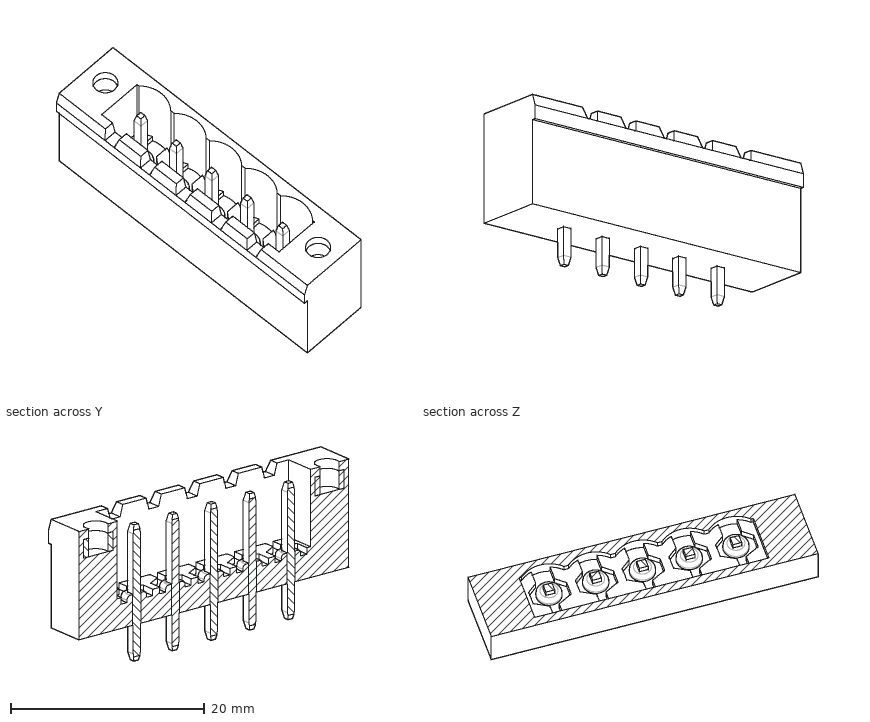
import cadquery as cq


length = 35.55
pin_count = 5
pitch = length / (pin_count + 2)
pin_positions = [(i - (pin_count - 1) / 2) * pitch for i in range(pin_count)]
flange_offset = (pin_count + 1) / 2 * pitch
flange_positions = [-flange_offset, flange_offset]

total_height = 16.0
body_height = 12.0
body_depth = 8.07
back_y = 3.8
front_y = back_y - body_depth

lip_projection = 0.43
lip_height = 2.77
lip_bevel_height = 1.28
lip_y = front_y - lip_projection

cavity_width = pin_count * pitch
cavity_depth = 8.55
floor_z = body_height - cavity_depth
cavity_front_y = lip_y + 1.5
scallop_base_y = back_y - 1.7
scallop_crest_y = back_y - 0.8
scallop_width = 4.6

recess_depth = 0.7
recess_width = 4.12
recess_rear_y = 0.43
recess_front_y = -1.1
rear_channel_width = 2.05
rear_channel_y = 1.28
front_channel_width = 1.0
front_channel_y = -1.95

boss_diameter = 2.75
boss_top_diameter = 1.85
boss_fillet = (boss_diameter - boss_top_diameter) / 2

notch_top_width = 2.0
notch_bottom_width = 1.28
notch_depth = lip_bevel_height

flange_hole_diameter = 2.6
ring_outer_diameter = 3.9
ring_height = 2.0
ring_top_z = body_height - 1.05
ring_bottom_z = ring_top_z - ring_height

pin_width = 1.0
pin_tip_width = 0.6
pin_taper_length = 0.9
pin_bottom_z = body_height - total_height
pin_top_z = body_height - 0.95


def make_block():
    """Housing block with the bevelled lip, drawn in the YZ plane."""
    profile = [
        (back_y, 0),
        (front_y, 0),
        (front_y, body_height - lip_height),
        (lip_y, body_height - lip_height),
        (lip_y, body_height - lip_bevel_height),
        (front_y, body_height),
        (back_y, body_height),
    ]
    return cq.Workplane("YZ").polyline(profile).close().extrude(length / 2, both=True)


def make_cavity(bottom_z):
    """Scalloped opening from bottom_z up to the top of the housing."""
    half_width = cavity_width / 2
    outline = (
        cq.Workplane("XY", origin=(0, 0, bottom_z))
        .moveTo(half_width, cavity_front_y)
        .lineTo(-half_width, cavity_front_y)
        .lineTo(-half_width, scallop_base_y)
    )
    for x in pin_positions:
        outline = outline.lineTo(x - scallop_width / 2, scallop_base_y).threePointArc(
            (x, scallop_crest_y), (x + scallop_width / 2, scallop_base_y)
        )
    outline = outline.lineTo(half_width, scallop_base_y).close()
    return outline.extrude(body_height - bottom_z)


def make_recess(x):
    """Keyhole recess below the cavity floor, with the boss left standing in it."""
    right_side = [
        (front_channel_width / 2, cavity_front_y),
        (front_channel_width / 2, front_channel_y),
        (recess_width / 2, recess_front_y),
        (recess_width / 2, recess_rear_y),
        (rear_channel_width / 2, rear_channel_y),
        (rear_channel_width / 2, scallop_crest_y),
    ]
    left_side = [(-px, py) for px, py in reversed(right_side)]
    base = cq.Workplane("XY", origin=(x, 0, floor_z - recess_depth))
    keyhole = base.polyline(right_side + left_side).close().extrude(recess_depth)
    boss = base.circle(boss_diameter / 2).extrude(recess_depth)
    boss = boss.faces(">Z").edges().fillet(boss_fillet)
    return keyhole.cut(boss)


def make_notch(x):
    """Notch through the front wall, narrowing downwards."""
    bottom_z = body_height - notch_depth
    profile = [
        (x - notch_bottom_width / 2, bottom_z),
        (x + notch_bottom_width / 2, bottom_z),
        (x + notch_top_width / 2, body_height),
        (x - notch_top_width / 2, body_height),
    ]
    plane = cq.Workplane("XZ", origin=(0, cavity_front_y, 0))
    return plane.polyline(profile).close().extrude(cavity_front_y - lip_y)


def make_pin_taper(x, shoulder_z, tip_z):
    """Four-sided taper from the full pin width to the tip width."""
    return (
        cq.Workplane("XY", origin=(x, 0, shoulder_z))
        .rect(pin_width, pin_width)
        .workplane(offset=tip_z - shoulder_z)
        .rect(pin_tip_width, pin_tip_width)
        .loft(ruled=True)
    )


def make_pin(x):
    """One square pin with both of its tapered tips."""
    lower_shoulder_z = pin_bottom_z + pin_taper_length
    upper_shoulder_z = pin_top_z - pin_taper_length
    shank = (
        cq.Workplane("XY", origin=(x, 0, lower_shoulder_z))
        .rect(pin_width, pin_width)
        .extrude(upper_shoulder_z - lower_shoulder_z)
    )
    lower_tip = make_pin_taper(x, lower_shoulder_z, pin_bottom_z)
    upper_tip = make_pin_taper(x, upper_shoulder_z, pin_top_z)
    return shank.union(lower_tip).union(upper_tip)


def make_ring(x):
    """Ring moulded into a flange, concentric with the flange hole."""
    return (
        cq.Workplane("XY", origin=(x, 0, ring_bottom_z))
        .circle(ring_outer_diameter / 2)
        .circle(flange_hole_diameter / 2)
        .extrude(ring_height)
    )


def make_flange_hole(x):
    """Blind hole from the top of the housing down to the bottom of the ring."""
    return (
        cq.Workplane("XY", origin=(x, 0, ring_bottom_z))
        .circle(flange_hole_diameter / 2)
        .extrude(body_height - ring_bottom_z)
    )


def make_housing(pins, rings):
    """Housing with its cavity, recesses, notches, flange holes and seats for the inserts."""
    housing = make_block().cut(make_cavity(floor_z))
    recess_limit = make_cavity(floor_z - recess_depth)
    for x in pin_positions:
        housing = housing.cut(make_recess(x).intersect(recess_limit))
        housing = housing.cut(make_notch(x))
    for x in flange_positions:
        housing = housing.cut(make_flange_hole(x))
    for insert in pins + rings:
        housing = housing.cut(insert)
    return housing


pins = [make_pin(x) for x in pin_positions]
rings = [make_ring(x) for x in flange_positions]
housing = make_housing(pins, rings)

result = cq.Compound.makeCompound(
    [housing.val(), *[pin.val() for pin in pins], *[ring.val() for ring in rings]]
)